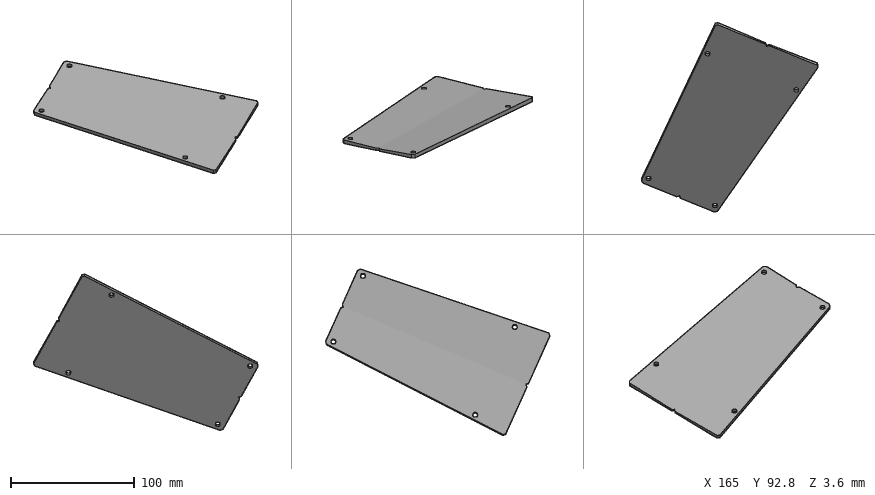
import cadquery as cq

length = 165.0
wide_half_width = 46.5
narrow_half_width = 34.2

outer_height = 3.6
center_height = 2.0

chamfer_x = 1.6
chamfer_y = 1.6
narrow_chamfer_y = 2.0

hole_diameter = 4.0
hole_places = [(6.0, 30.0), (136.0, 40.1)]

edge_slope = (wide_half_width - narrow_half_width) / length


def half_width(x):
    """Distance from the centre line to the tapered edge at x."""
    return narrow_half_width + edge_slope * x


def half_outline(side):
    """Corners of one half of the plate, on the +Y (1) or -Y (-1) side."""
    corners = [
        (chamfer_x, 0),
        (length - chamfer_x, 0),
        (length, chamfer_y),
        (length, wide_half_width - chamfer_y),
        (length - chamfer_x, half_width(length - chamfer_x)),
        (chamfer_x, half_width(chamfer_x)),
        (0, narrow_half_width - narrow_chamfer_y),
        (0, chamfer_y),
    ]
    return [(x, side * y) for x, y in corners]


def plate_half(side):
    return cq.Workplane("XY").polyline(half_outline(side)).close().extrude(outer_height)


def valley_profile():
    """Solid below the V-shaped top face, running the full length."""
    outer_y = half_width(length - chamfer_x)
    profile = [
        (-outer_y, 0),
        (outer_y, 0),
        (outer_y, outer_height),
        (0, center_height),
        (-outer_y, outer_height),
    ]
    return cq.Workplane("YZ").polyline(profile).close().extrude(length)


plate = plate_half(1).union(plate_half(-1)).intersect(valley_profile())

hole_centers = [(x, side * y) for x, y in hole_places for side in (1, -1)]
holes = cq.Workplane("XY").pushPoints(hole_centers).circle(hole_diameter / 2).extrude(outer_height)

result = plate.cut(holes)